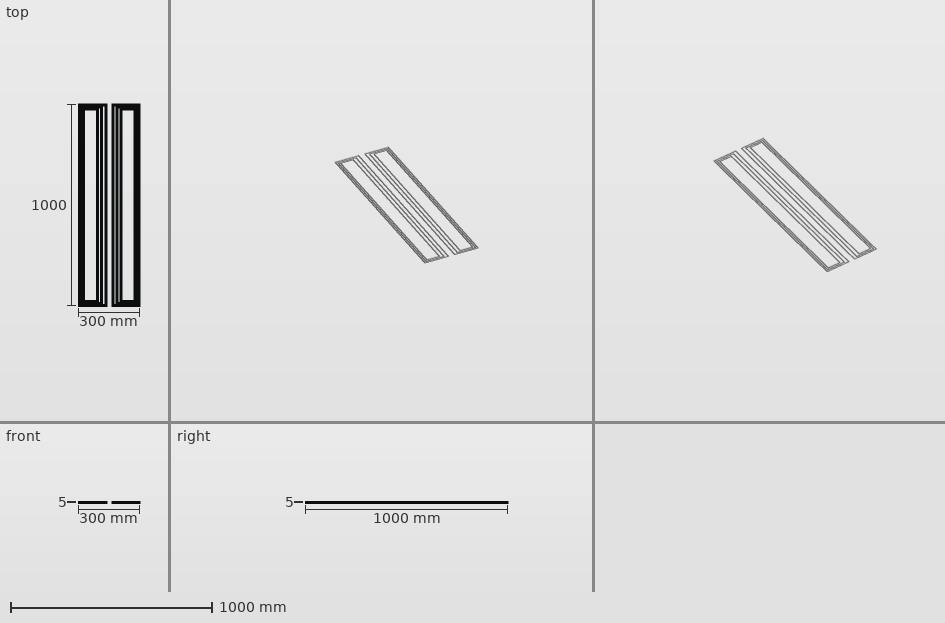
import cadquery as cq

bar_width = 5.0
bar_height = 5.0

overall_width = 300.0
overall_length = 1000.0
gap_between_sets = 30.0

nesting_gap = 5.0
inner_side_gap = 15.0

nesting_pitch = bar_width + nesting_gap
inner_side_pitch = bar_width + inner_side_gap

outer_edge = overall_width / 2
inner_edge = gap_between_sets / 2


def make_frame(level, side):
    """One frame: level 0 is the outermost of its set, side is -1 for the -X set and 1 for the +X set."""
    far_x = outer_edge - level * nesting_pitch
    near_x = inner_edge + level * inner_side_pitch
    width = far_x - near_x
    length = overall_length - 2 * level * nesting_pitch
    center_x = side * (far_x + near_x) / 2
    return (
        cq.Workplane("XY")
        .center(center_x, 0)
        .rect(width, length)
        .rect(width - 2 * bar_width, length - 2 * bar_width)
        .extrude(bar_height)
    )


def make_large_frame(side):
    return make_frame(0, side)


def make_medium_frame(side):
    return make_frame(1, side)


def make_small_frame(side):
    return make_frame(2, side)


bodies = []
for set_side in (-1, 1):
    bodies.append(make_large_frame(set_side).val())
    bodies.append(make_medium_frame(set_side).val())
    bodies.append(make_small_frame(set_side).val())

result = cq.Compound.makeCompound(bodies)